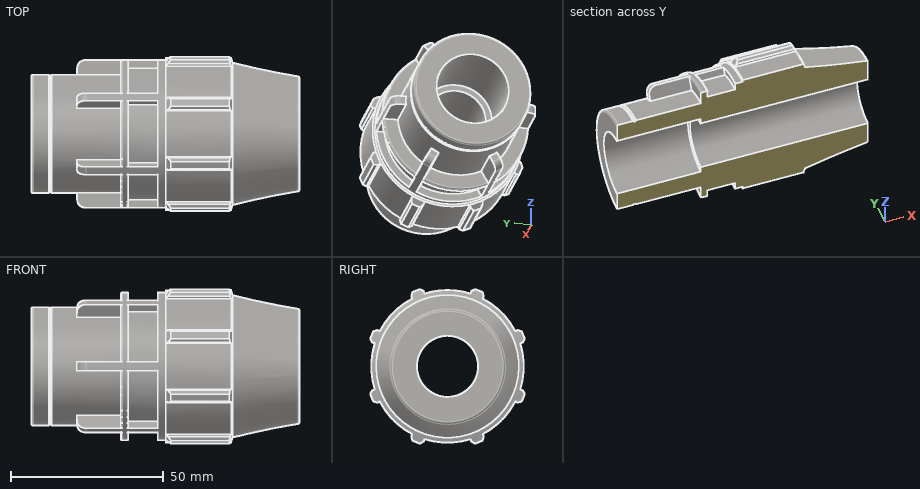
import cadquery as cq
length = 88.0
groove_start = 5.6
rib_start = 15.0
ring_start = 29.4
ring_end = 31.9
flange_start = 41.45
nut_start = 44.1
nut_end = 66.0

bore_radius = 20.0 / 2
socket_radius = 24.1 / 2
spigot_radius = 38.9 / 2
neck_radius = 21.65
ring_radius = 48.6 / 2
nut_radius = 25.1
cone_start_radius = 23.4
cone_middle_radius = 20.9
cone_end_radius = 18.8

spigot_fillet = 0.5
ring_fillet = 0.4
groove_depth = 0.5
cone_end_fillet = 0.8

socket_depth = ring_start

rib_count = 6
rib_width = 2.9
rib_end_fillet = 2.8

lug_count = 8
lug_top_radius = 26.9
lug_shoulder_radius = 25.9
lug_top_width = 2.6
lug_width = 4.4
lug_root_radius = neck_radius
lug_front_slope = 1.7

nut_back_trim = 1.1

cutter_margin = 0.9


def turned_body():
    """Solid of revolution: spigot, plain sleeve up to the nut, nut and tapered end."""
    cone_middle = (nut_end + length) / 2
    body = (
        cq.Workplane("XZ")
        .moveTo(0, 0)
        .lineTo(0, spigot_radius - spigot_fillet)
        .radiusArc((spigot_fillet, spigot_radius), spigot_fillet)
        .lineTo(groove_start, spigot_radius)
        .lineTo(groove_start + groove_depth, spigot_radius - groove_depth)
        .lineTo(groove_start + 2 * groove_depth, spigot_radius)
        .lineTo(rib_start, spigot_radius)
        .lineTo(rib_start, ring_radius - rib_end_fillet)
        .radiusArc((rib_start + rib_end_fillet, ring_radius), rib_end_fillet)
        .lineTo(nut_start, ring_radius)
        .lineTo(nut_start, nut_radius)
        .lineTo(nut_end, nut_radius)
        .lineTo(nut_end, cone_start_radius)
        .threePointArc((cone_middle, cone_middle_radius), (length, cone_end_radius))
        .lineTo(length, 0)
        .close()
        .revolve(360, (0, 0, 0), (1, 0, 0))
    )
    return body.faces(">X").edges().fillet(cone_end_fillet)


def around_axis(shape, count, first_angle):
    """Equally spaced copies of a shape that points along +Z, turned about the X axis."""
    copies = cq.Workplane("XY")
    for index in range(count):
        angle = first_angle + index * 360 / count
        copies = copies.union(shape.rotate((0, 0, 0), (1, 0, 0), angle))
    return copies


def sleeve_pockets():
    """Pockets before and after the ring that leave the ribs, the rounded ring and the flange standing."""
    outer_radius = ring_radius + cutter_margin
    before_ring = (
        cq.Workplane("XZ")
        .moveTo(rib_start, spigot_radius)
        .lineTo(ring_start, spigot_radius)
        .lineTo(ring_start, ring_radius - ring_fillet)
        .radiusArc((ring_start + ring_fillet, ring_radius), ring_fillet)
        .lineTo(ring_start + ring_fillet, outer_radius)
        .lineTo(rib_start, outer_radius)
        .close()
        .revolve(360, (0, 0, 0), (1, 0, 0))
    )
    after_ring = (
        cq.Workplane("XZ")
        .moveTo(flange_start, neck_radius)
        .lineTo(flange_start, outer_radius)
        .lineTo(ring_end - ring_fillet, outer_radius)
        .lineTo(ring_end - ring_fillet, ring_radius)
        .radiusArc((ring_end, ring_radius - ring_fillet), ring_fillet)
        .lineTo(ring_end, neck_radius)
        .close()
        .revolve(360, (0, 0, 0), (1, 0, 0))
    )
    slab_height = outer_radius + cutter_margin
    rib_slab = cq.Workplane("XY").box(length, rib_width, slab_height, centered=(False, True, False))
    rib_slabs = around_axis(rib_slab, rib_count, 90)
    return before_ring.union(after_ring).cut(rib_slabs)


def lugs():
    """Grip lugs with chamfered tops and a sloping front end."""
    side_profile = [
        (nut_start, lug_root_radius),
        (nut_start, nut_radius),
        (nut_start + lug_front_slope, lug_top_radius),
        (nut_end, lug_top_radius),
        (nut_end, lug_root_radius),
    ]
    end_profile = [
        (-lug_width / 2, lug_root_radius),
        (-lug_width / 2, lug_shoulder_radius),
        (-lug_top_width / 2, lug_top_radius),
        (lug_top_width / 2, lug_top_radius),
        (lug_width / 2, lug_shoulder_radius),
        (lug_width / 2, lug_root_radius),
    ]
    along = cq.Workplane("XZ").polyline(side_profile).close().extrude(lug_width / 2, both=True)
    across = cq.Workplane("YZ").polyline(end_profile).close().extrude(length)
    return around_axis(along.intersect(across), lug_count, 180 / lug_count)


def nut_back_cutter():
    """Ring outside a steep cone that falls from the lug tops to the start of the tapered end."""
    slope = (lug_top_radius - cone_start_radius) / nut_back_trim
    outer_radius = lug_top_radius + cutter_margin
    profile = [
        (nut_end, cone_start_radius),
        (nut_end, outer_radius),
        (nut_end - (outer_radius - cone_start_radius) / slope, outer_radius),
    ]
    return cq.Workplane("XZ").polyline(profile).close().revolve(360, (0, 0, 0), (1, 0, 0))


def bore():
    """Through bore, widened to a socket at the spigot end."""
    through = cq.Workplane("YZ").circle(bore_radius).extrude(length)
    socket = cq.Workplane("YZ").circle(socket_radius).extrude(socket_depth)
    return through.union(socket)


body = turned_body().cut(sleeve_pockets())
body = body.union(lugs()).cut(nut_back_cutter())
result = body.cut(bore())